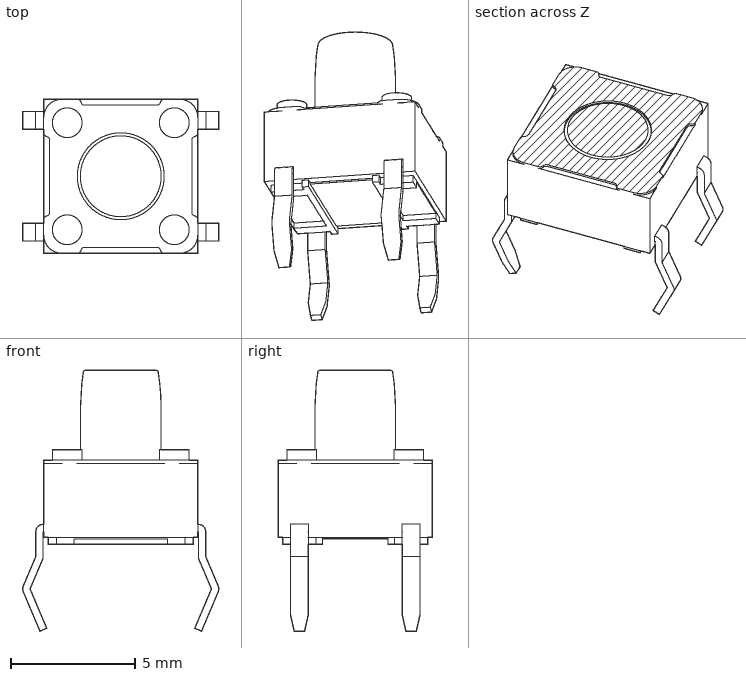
import cadquery as cq
import math


total_height = 10.5
overall_width = 7.9

body_size = 6.2
body_height = 2.96
plate_thickness = 0.15
plate_corner_radius = 0.72
plate_top = body_height + plate_thickness
half_body = body_size / 2
notch_depth = 0.24
notch_mouth_half = 1.75
notch_floor_half = 1.44
button_hole_diameter = 3.5

rivet_diameter = 1.2
rivet_height = 0.42
rivet_spacing = 4.3

button_diameter = 3.25
button_tip_diameter = 2.99
button_straight_top = 5.23
button_top = 6.72
button_base_fillet = 0.1
button_edge_radius = 0.09

lead_bottom = button_top - total_height
lead_thickness = 0.3
lead_width = 0.72
lead_spacing = 4.49
lead_gap = 0.02
lead_shoulder_z = 0.22
lead_shoulder_overlap = 0.1
lead_bend_z = -0.84
lead_angle = math.radians(23)
lead_tip_width = 0.43
lead_tip_length = 0.7

base_thickness = 0.06
foot_height = 0.28
foot_reach = 2.92
rail_inner_y = 1.31
rail_outer_y = 1.58
pad_inner_x = 1.89
pad_outer_x = 2.59


def box(x_range, y_range, z_range):
    """Axis-aligned box between the given limits."""
    size = [high - low for low, high in (x_range, y_range, z_range)]
    corner = (x_range[0], y_range[0], z_range[0])
    return cq.Workplane("XY").box(*size, centered=False).translate(corner)


def plate_notch():
    """Shallow notch in the +Y plate edge, with S-shaped ends of two equal arcs."""
    run = notch_mouth_half - notch_floor_half
    arc_radius = (run**2 + notch_depth**2) / (4 * notch_depth)
    middle_x = (notch_mouth_half + notch_floor_half) / 2
    middle_y = half_body - notch_depth / 2
    floor_y = half_body - notch_depth
    return (
        cq.Workplane("XY")
        .workplane(offset=body_height)
        .moveTo(-notch_mouth_half, half_body)
        .radiusArc((-middle_x, middle_y), arc_radius)
        .radiusArc((-notch_floor_half, floor_y), -arc_radius)
        .lineTo(notch_floor_half, floor_y)
        .radiusArc((middle_x, middle_y), -arc_radius)
        .radiusArc((notch_mouth_half, half_body), arc_radius)
        .close()
        .extrude(plate_thickness)
    )


def cover_plate():
    """Rounded plate with a notch in each side and a clearance hole for the button."""
    plate = (
        cq.Workplane("XY")
        .workplane(offset=body_height)
        .rect(body_size, body_size)
        .extrude(plate_thickness)
        .edges("|Z")
        .fillet(plate_corner_radius)
        .faces(">Z")
        .workplane()
        .hole(button_hole_diameter)
    )
    for side in range(4):
        plate = plate.cut(plate_notch().rotate((0, 0, 0), (0, 0, 1), 90 * side))
    return plate


def rivets():
    return (
        cq.Workplane("XY")
        .workplane(offset=plate_top)
        .rect(rivet_spacing, rivet_spacing, forConstruction=True)
        .vertices()
        .circle(rivet_diameter / 2)
        .extrude(rivet_height)
    )


def button():
    """Cylinder whose upper part curves gently inward, with a small flare at its base."""
    radius = button_diameter / 2
    return (
        cq.Workplane("XZ")
        .moveTo(0, body_height)
        .lineTo(radius + button_base_fillet, body_height)
        .radiusArc((radius, body_height + button_base_fillet), button_base_fillet)
        .lineTo(radius, button_straight_top)
        .tangentArcPoint((button_tip_diameter / 2, button_top), relative=False)
        .lineTo(0, button_top)
        .close()
        .revolve(360, (0, 0, 0), (0, 1, 0))
        .faces(">Z")
        .edges()
        .fillet(button_edge_radius)
    )


def feet():
    """Thin base with two rails along X, each carrying two pads on its outer side."""
    base = box((-pad_outer_x, pad_outer_x), (-foot_reach, foot_reach), (-base_thickness, 0))
    foot_z = (-foot_height, 0)
    side = box((-foot_reach, foot_reach), (rail_inner_y, rail_outer_y), foot_z)
    for pad_x in ((-pad_outer_x, -pad_inner_x), (pad_inner_x, pad_outer_x)):
        side = side.union(box(pad_x, (rail_outer_y, foot_reach), foot_z))
    return base.union(side).union(side.mirror("XZ"))


def lead():
    """One lead on the +X side, centred on Y = 0."""
    sin_a = math.sin(lead_angle)
    cos_a = math.cos(lead_angle)
    inner_x = half_body + lead_gap
    outer_x = inner_x + lead_thickness
    shoulder_top = lead_shoulder_z + lead_thickness
    root_x = half_body - lead_shoulder_overlap

    knee_x = overall_width / 2 - lead_thickness
    knee_z = lead_bend_z - (knee_x - inner_x) / math.tan(lead_angle)
    outer_bend_z = lead_bend_z + lead_thickness * math.tan(lead_angle / 2)
    leg_length = (knee_z - lead_thickness * sin_a - lead_bottom) / cos_a
    straight_length = leg_length - lead_tip_length

    offset_x = lead_thickness * cos_a
    offset_z = lead_thickness * sin_a
    end_x = knee_x - straight_length * sin_a
    end_z = knee_z - straight_length * cos_a

    strip = (
        cq.Workplane("XZ")
        .moveTo(root_x, lead_shoulder_z)
        .lineTo(root_x, shoulder_top)
        .lineTo(inner_x, shoulder_top)
        .radiusArc((outer_x, lead_shoulder_z), lead_thickness)
        .lineTo(outer_x, outer_bend_z)
        .lineTo(knee_x + offset_x, knee_z + offset_z)
        .radiusArc((knee_x + offset_x, knee_z - offset_z), lead_thickness)
        .lineTo(end_x + offset_x, end_z - offset_z)
        .lineTo(end_x, end_z)
        .lineTo(knee_x, knee_z)
        .lineTo(inner_x, lead_bend_z)
        .lineTo(inner_x, lead_shoulder_z)
        .close()
        .extrude(lead_width / 2, both=True)
    )

    tip_plane = cq.Plane(origin=(end_x, 0, end_z), xDir=(0, 1, 0), normal=(cos_a, 0, -sin_a))
    tip = (
        cq.Workplane(tip_plane)
        .moveTo(-lead_width / 2, 0)
        .lineTo(lead_width / 2, 0)
        .lineTo(lead_tip_width / 2, -lead_tip_length)
        .lineTo(-lead_tip_width / 2, -lead_tip_length)
        .close()
        .extrude(lead_thickness)
    )
    return strip.union(tip)


housing = box((-half_body, half_body), (-half_body, half_body), (0, body_height))
result = housing.union(cover_plate()).union(rivets()).union(button()).union(feet())
for lead_y in (-lead_spacing / 2, lead_spacing / 2):
    right_lead = lead().translate((0, lead_y, 0))
    result = result.union(right_lead).union(right_lead.mirror("YZ"))